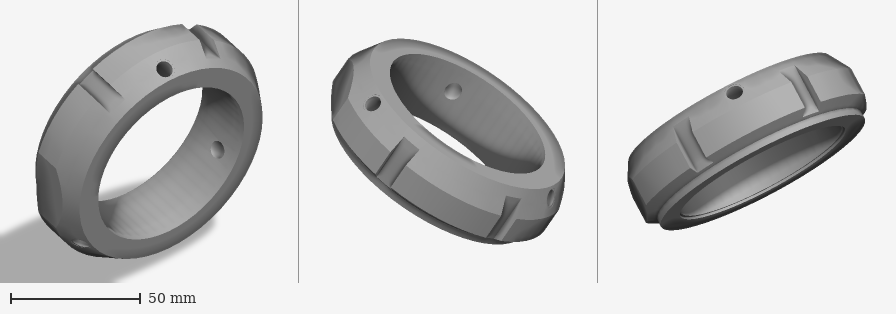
import cadquery as cq
import math

width = 28.0
outer_radius = 50.0
bore_radius = 35.0
counterbore_radius = 36.0
counterbore_depth = 1.0
across_flats = 95.0

collar_radius = 44.5
collar_length = 3.0
front_cone_angle = 60.0
rear_cone_angle = 30.0
band_end = 17.5
band_start = collar_length + (outer_radius - collar_radius) / math.tan(math.radians(front_cone_angle))
rear_slope = math.tan(math.radians(rear_cone_angle))
rear_radius = outer_radius - (width - band_end) * rear_slope

slot_width = 8.0
slot_floor_radius = 46.0
slot_angles = (30.0, 150.0, 210.0, 330.0)

screw_hole_diameter = 6.6
spotface_diameter = 8.1
spotface_depth = 0.2
screw_position = 23.8
screw_angles = (0.0, 120.0, 240.0)

cut_clearance = 5.0


def ring_body():
    """Revolve the ring section about X."""
    section = cq.Workplane("XY").polyline([
        (0, counterbore_radius),
        (0, collar_radius),
        (collar_length, collar_radius),
        (band_start, outer_radius),
        (band_end, outer_radius),
        (width, rear_radius),
        (width, bore_radius),
        (counterbore_depth, bore_radius),
        (counterbore_depth, counterbore_radius),
    ]).close()
    return section.revolve(360, (0, 0, 0), (1, 0, 0))


def flats_envelope():
    """Block whose Y sides form the two wrench flats."""
    return cq.Workplane("XY").box(3 * width, across_flats, 3 * outer_radius)


def slot_cutter():
    """Slot along X at the top of the ring, with a floor concentric with the bore."""
    slab = cq.Workplane("XY").box(width, slot_width, outer_radius + cut_clearance, centered=(False, True, False))
    core = cq.Workplane("YZ").circle(slot_floor_radius).extrude(width)
    return slab.cut(core)


def screw_cutter():
    """Spotfaced hole at the top of the ring, running into the bore."""
    surface_radius = outer_radius - (screw_position - band_end) * rear_slope
    mouth = cq.Vector(screw_position, 0, surface_radius)
    tilt = math.radians(rear_cone_angle)
    inward = cq.Vector(-math.sin(tilt), 0, -math.cos(tilt))
    bore_reach = (surface_radius - bore_radius) / math.cos(tilt) + cut_clearance
    hole = cq.Solid.makeCylinder(screw_hole_diameter / 2, bore_reach, mouth, inward)
    spotface = cq.Solid.makeCylinder(
        spotface_diameter / 2,
        spotface_depth + cut_clearance,
        mouth - inward * cut_clearance,
        inward,
    )
    return cq.Workplane(hole).union(cq.Workplane(spotface))


def cut_around_axis(body, cutter, angles):
    """Cut a copy of the cutter at each angle about X."""
    for angle in angles:
        body = body.cut(cutter.rotate((0, 0, 0), (1, 0, 0), angle))
    return body


result = ring_body().intersect(flats_envelope())
result = cut_around_axis(result, slot_cutter(), slot_angles)
result = cut_around_axis(result, screw_cutter(), screw_angles)